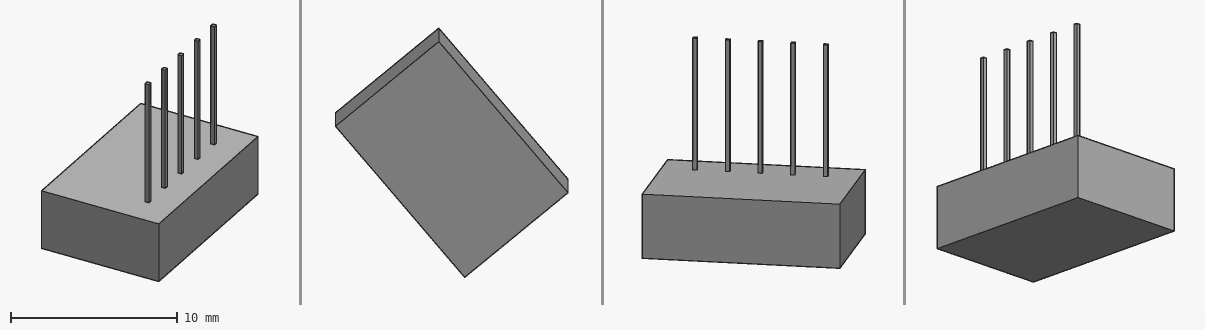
import cadquery as cq

body_length_x = 8.1
body_width_y = 12.1
body_height = 4.0

total_height = 12.2
pin_side = 0.26
pin_count = 5
pin_pitch = 2.0
pin_row_from_back = 1.9
pin_height = total_height - body_height
pin_row_x = body_length_x / 2 - pin_row_from_back


def make_body():
    """Block centred on the Z axis, resting on Z = 0."""
    return cq.Workplane("XY").box(
        body_length_x, body_width_y, body_height, centered=(True, True, False)
    )


def add_pins(body):
    """Raise the evenly spaced pin row, centred along Y, from the top face."""
    return (
        body.faces(">Z")
        .workplane(origin=(pin_row_x, 0, body_height))
        .rarray(pin_pitch, pin_pitch, 1, pin_count)
        .rect(pin_side, pin_side)
        .extrude(pin_height)
    )


result = add_pins(make_body())